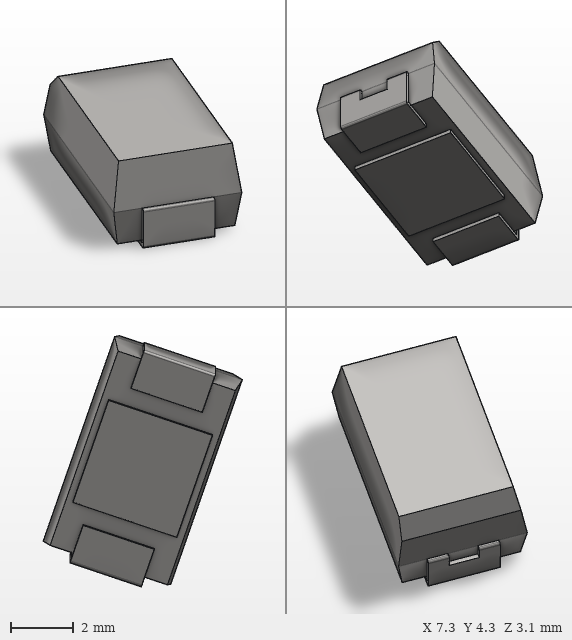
import cadquery as cq
import math

overall_length = 7.3
body_width = 4.3
overall_height = 3.1

metal_thickness = 0.15
leg_overlap = 0.01
body_length = overall_length - 2 * (metal_thickness - leg_overlap)
parting_height = 1.4
draft_angle = 8.0

bevel_drop = 0.57
bevel_slope = 45.0

terminal_width = 2.4
foot_length = 1.3
edge_radius = metal_thickness / 2
notch_width = 1.0
notch_depth = 0.48

pad_size = 3.5


def drafted_half(height):
    """Half of the body, rising (or hanging, if negative) from the parting plane."""
    return (
        cq.Workplane("XY")
        .workplane(offset=parting_height)
        .rect(body_length, body_width)
        .extrude(height, taper=draft_angle)
    )


def bevel_cutter():
    """Wedge that removes the top edge at the -X end."""
    bevel_bottom = overall_height - bevel_drop
    draft_inset = (bevel_bottom - parting_height) * math.tan(math.radians(draft_angle))
    bevel_start = -body_length / 2 + draft_inset
    bevel_end = bevel_start + bevel_drop / math.tan(math.radians(bevel_slope))
    return (
        cq.Workplane("XZ")
        .moveTo(bevel_start, bevel_bottom)
        .lineTo(bevel_end, overall_height)
        .lineTo(bevel_start, overall_height)
        .close()
        .extrude(body_width / 2, both=True)
    )


def body():
    upper = drafted_half(overall_height - parting_height)
    lower = drafted_half(metal_thickness - parting_height)
    return upper.union(lower).cut(bevel_cutter())


def terminal():
    """L-shaped terminal at the -X end, with its two outer edges rounded."""
    outer_x = -overall_length / 2
    return (
        cq.Workplane("XZ")
        .moveTo(outer_x, 0)
        .lineTo(outer_x + foot_length, 0)
        .lineTo(outer_x + foot_length, metal_thickness)
        .lineTo(outer_x + metal_thickness, metal_thickness)
        .lineTo(outer_x + metal_thickness, parting_height)
        .lineTo(outer_x, parting_height)
        .close()
        .extrude(terminal_width / 2, both=True)
        .faces("<X")
        .edges("|Y")
        .fillet(edge_radius)
    )


def notch_cutter():
    """Block that opens the top of the -X leg."""
    return (
        cq.Workplane("XY")
        .workplane(offset=parting_height - notch_depth)
        .center(-(overall_length - metal_thickness) / 2, 0)
        .rect(metal_thickness, notch_width)
        .extrude(notch_depth)
    )


def pad():
    return cq.Workplane("XY").rect(pad_size, pad_size).extrude(metal_thickness)


notched_terminal = terminal().cut(notch_cutter())
plain_terminal = terminal().mirror("YZ")

result = body().union(pad()).union(notched_terminal).union(plain_terminal)